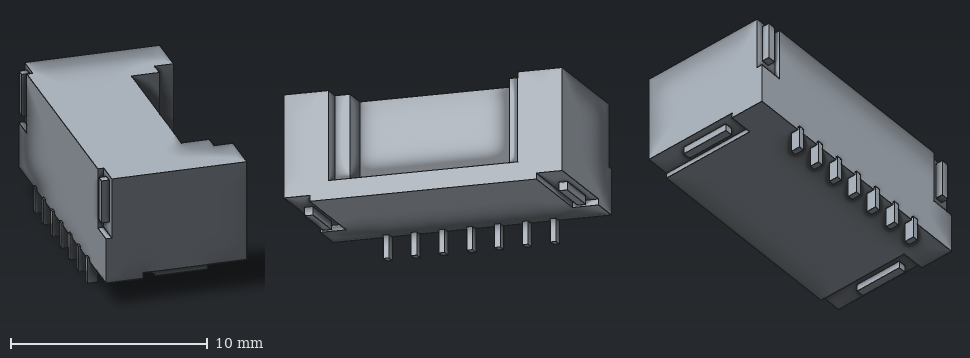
import cadquery as cq

body_length = 15.0
body_depth = 7.5
body_height = 5.78

opening_wide_margin = 2.4
opening_narrow_margin = 3.21
opening_step_depth = 1.0
opening_depth = 2.49
floor_thickness = 1.0

recess_width = 1.4
recess_depth = 0.32
front_recess_height = 3.3
bottom_recess_length = 5.52
tab_width = 0.45
tab_edge_offset = 0.42
front_projection = 0.1
front_tab_top_gap = 0.24
front_tab_height = 2.34
bottom_projection = 0.14
bottom_tab_back_gap = 1.96
bottom_tab_length = 2.79

pin_count = 7
pin_pitch = 1.5
pin_width = 0.32
pin_thickness = 0.54
pin_drop = 1.23
pin_rise = 0.18


def block(x_range, y_range, z_range):
    """Box spanning the given ranges."""
    (x0, x1), (y0, y1), (z0, z1) = x_range, y_range, z_range
    return cq.Workplane("XY").box(x1 - x0, y1 - y0, z1 - z0, centered=False).translate((x0, y0, z0))


def both_ends(solid):
    """The solid together with its mirror image across X = 0."""
    return solid.union(solid.mirror("YZ"))


def top_opening(end_margin, depth):
    """Rectangular opening from the back face, leaving the floor below."""
    half_width = body_length / 2 - end_margin
    return block(
        (-half_width, half_width),
        (body_depth - depth, body_depth),
        (floor_thickness, body_height),
    )


left_end = -body_length / 2
recess_x = (left_end, left_end + recess_width)
tab_x = (left_end + tab_edge_offset, left_end + tab_edge_offset + tab_width)

result = block((left_end, -left_end), (0, body_depth), (0, body_height))
result = result.cut(top_opening(opening_wide_margin, opening_step_depth))
result = result.cut(top_opening(opening_narrow_margin, opening_depth))

front_recess = block(recess_x, (0, recess_depth), (body_height - front_recess_height, body_height))
bottom_recess = block(recess_x, (body_depth - bottom_recess_length, body_depth), (0, recess_depth))
result = result.cut(both_ends(front_recess)).cut(both_ends(bottom_recess))

front_tab_top = body_height - front_tab_top_gap
front_tab = block(
    tab_x,
    (-front_projection, recess_depth),
    (front_tab_top - front_tab_height, front_tab_top),
)
bottom_tab_back = body_depth - bottom_tab_back_gap
bottom_tab = block(
    tab_x,
    (bottom_tab_back - bottom_tab_length, bottom_tab_back),
    (-bottom_projection, recess_depth),
)
result = result.union(both_ends(front_tab)).union(both_ends(bottom_tab))

for index in range(pin_count):
    pin_center = (index - (pin_count - 1) / 2) * pin_pitch
    pin = block(
        (pin_center - pin_width / 2, pin_center + pin_width / 2),
        (-front_projection, pin_thickness - front_projection),
        (-pin_drop, pin_rise),
    )
    result = result.union(pin)